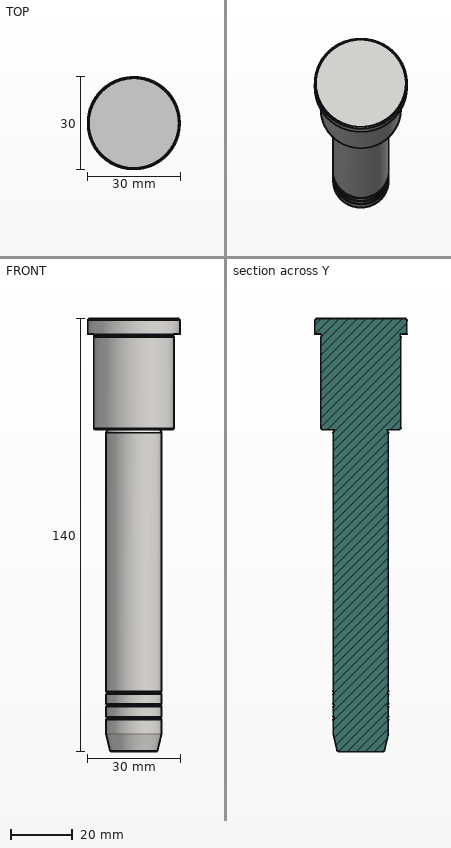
import cadquery as cq

length = 140.0
head_radius = 30.0 / 2
body_radius = 26.0 / 2
pin_radius = 18.0 / 2
tip_radius = 15.3 / 2

head_bottom = length - 5.0
body_bottom = length - 36.0
taper_height = 5.9

head_chamfer = 0.5
body_chamfer = 0.5
tip_chamfer = 0.4

relief_height = 1.0
relief_depth = 0.4

neck_groove_width = 1.0
neck_groove_depth = 0.3

oil_groove_width = 1.0
oil_groove_depth = 0.4
oil_groove_pitch = 4.0
oil_groove_count = 3
lowest_oil_groove = 10.9


def revolve_profile(points):
    """Revolve a closed outline of (radius, height) points about Z."""
    return cq.Workplane("XZ").polyline(points).close().revolve(360, (0, 0), (0, 1))


def make_cylinder(radius, bottom, top):
    return cq.Workplane("XY").workplane(offset=bottom).circle(radius).extrude(top - bottom)


def make_pin():
    """Pin with a tapered tip and a conical relief under the body."""
    pin = revolve_profile([
        (0, 0),
        (tip_radius, 0),
        (pin_radius, taper_height),
        (pin_radius, body_bottom - relief_height),
        (pin_radius - relief_depth, body_bottom),
        (0, body_bottom),
    ])
    return pin.faces("<Z").chamfer(tip_chamfer)


def make_body():
    return make_cylinder(body_radius, body_bottom, head_bottom).faces("<Z").chamfer(body_chamfer)


def make_head():
    return make_cylinder(head_radius, head_bottom, length).faces(">Z").chamfer(head_chamfer)


def make_v_groove(radius, center, width, depth):
    """Ring cutter for a V-groove around a cylinder of the given radius."""
    return revolve_profile([
        (radius, center - width / 2),
        (radius - depth, center),
        (radius, center + width / 2),
    ])


result = make_pin().union(make_body()).union(make_head())

neck_groove_center = head_bottom - neck_groove_width / 2
result = result.cut(make_v_groove(body_radius, neck_groove_center, neck_groove_width, neck_groove_depth))

for index in range(oil_groove_count):
    center = lowest_oil_groove + index * oil_groove_pitch
    result = result.cut(make_v_groove(pin_radius, center, oil_groove_width, oil_groove_depth))